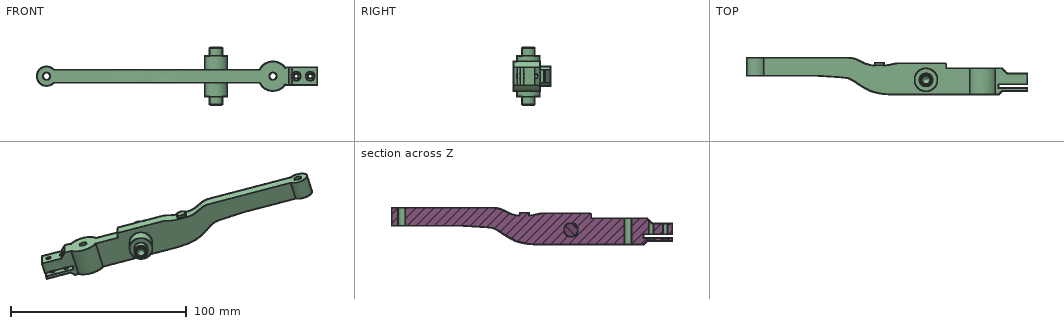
import cadquery as cq
import math

LENGTH = 159.5
ARM_THICKNESS = 7.5
ARM_BACK_Y = 21.0
ARM_FRONT_Y = 10.7

EYE_DIAMETER = 11.2
EYE_X = EYE_DIAMETER / 2
EYE_HOLE_DIAMETER = 4.0

FRONT_BEND_START_X = 40.3
FRONT_BEND_END_X = 86.6
BACK_BEND_START_X = 57.9
BACK_VALLEY_START_X = 72.1
BACK_VALLEY_END_X = 79.0
BACK_VALLEY_Y = 16.7
BACK_RIDGE_START_X = 86.6
BACK_RIDGE_Y = 18.0
FRONT_BEND_POINTS = [(51.8, 9.9), (57.4, 9.4), (64.3, 5.5), (70.8, 1.9), (78.0, 0.3)]

STEP_X = 113.5
STEP_CHAMFER = 0.8
HUB_BACK_Y = 15.2

HUB_X = 134.3
HUB_DIAMETER = 16.9
HUB_HOLE_DIAMETER = 4.0

TAIL_START_X = 141.3
TAIL_HEIGHT = 10.2
JAW_BACK_Y = 12.1
JAW_BACK_X = 148.0
LEAF_FRONT_Y = 2.0
LEAF_START_X = 145.3
SLOT_START_X = 143.2
SLOT_FRONT_Y = 3.8
SLOT_BACK_Y = 5.9

SCREW_XS = (147.5, 155.5)
SCREW_HEAD_DIAMETER = 5.1
SCREW_HOLE_DIAMETER = 2.5

STUD_X = 75.5
STUD_DIAMETER = 5.5
STUD_BACK_Y = 18.2
STUD_ROOT_DEPTH = 0.8

PIN_X = 101.9
PIN_Y = 8.5
PIN_DIAMETER = 7.5
PIN_LENGTH = 33.0
PIN_CHAMFER = 0.6
SLEEVE_DIAMETER = 13.0
SLEEVE_LENGTH = 23.1
CENTRE_HOLE_DIAMETER = 4.8
CENTRE_HOLE_ANGLE = 90.0


def cylinder_along_y(x, diameter, start_y, end_y):
    """Cylinder at height Z = 0 that runs from start_y to end_y."""
    direction = cq.Vector(0, 1, 0)
    return cq.Workplane(
        cq.Solid.makeCylinder(diameter / 2, end_y - start_y, cq.Vector(x, start_y, 0), direction)
    )


def extrude_about_mid_plane(outline, thickness):
    """Extrude a closed XY outline so that Z = 0 lies midway through it."""
    return outline.extrude(thickness).translate((0, 0, -thickness / 2))


def make_arm():
    outline = (
        cq.Workplane("XY")
        .moveTo(EYE_X, ARM_FRONT_Y)
        .lineTo(FRONT_BEND_START_X, ARM_FRONT_Y)
        .spline(
            FRONT_BEND_POINTS + [(FRONT_BEND_END_X, 0)],
            tangents=[(1, 0), (1, 0)],
            includeCurrent=True,
        )
        .lineTo(HUB_X, 0)
        .lineTo(HUB_X, HUB_BACK_Y)
        .lineTo(STEP_X, HUB_BACK_Y)
        .lineTo(STEP_X, BACK_RIDGE_Y - STEP_CHAMFER)
        .lineTo(STEP_X - STEP_CHAMFER, BACK_RIDGE_Y)
        .lineTo(BACK_RIDGE_START_X, BACK_RIDGE_Y)
        .spline(
            [(BACK_VALLEY_END_X, BACK_VALLEY_Y)],
            tangents=[(-1, 0), (-1, 0)],
            includeCurrent=True,
        )
        .lineTo(BACK_VALLEY_START_X, BACK_VALLEY_Y)
        .spline(
            [(BACK_BEND_START_X, ARM_BACK_Y)],
            tangents=[(-1, 0), (-1, 0)],
            includeCurrent=True,
        )
        .lineTo(EYE_X, ARM_BACK_Y)
        .close()
    )
    return extrude_about_mid_plane(outline, ARM_THICKNESS)


def make_tail():
    leaf_root_x = LEAF_START_X - LEAF_FRONT_Y
    jaw_root_x = JAW_BACK_X - (HUB_BACK_Y - JAW_BACK_Y)
    outline = (
        cq.Workplane("XY")
        .moveTo(TAIL_START_X, 0)
        .lineTo(leaf_root_x, 0)
        .lineTo(LEAF_START_X, LEAF_FRONT_Y)
        .lineTo(LENGTH, LEAF_FRONT_Y)
        .lineTo(LENGTH, SLOT_FRONT_Y)
        .lineTo(SLOT_START_X, SLOT_FRONT_Y)
        .lineTo(SLOT_START_X, SLOT_BACK_Y)
        .lineTo(LENGTH, SLOT_BACK_Y)
        .lineTo(LENGTH, JAW_BACK_Y)
        .lineTo(JAW_BACK_X, JAW_BACK_Y)
        .lineTo(jaw_root_x, HUB_BACK_Y)
        .lineTo(TAIL_START_X, HUB_BACK_Y)
        .close()
    )
    return extrude_about_mid_plane(outline, TAIL_HEIGHT)


def make_screw_hole(x):
    """Hole through leaf and jaw, with a conical head seat and room for the head in front of it."""
    seat_depth = (SCREW_HEAD_DIAMETER - SCREW_HOLE_DIAMETER) / 2
    seat = cq.Workplane(
        cq.Solid.makeCone(
            SCREW_HEAD_DIAMETER / 2,
            SCREW_HOLE_DIAMETER / 2,
            seat_depth,
            cq.Vector(x, LEAF_FRONT_Y, 0),
            cq.Vector(0, 1, 0),
        )
    )
    head_relief = cylinder_along_y(x, SCREW_HEAD_DIAMETER, 0, LEAF_FRONT_Y)
    shank = cylinder_along_y(x, SCREW_HOLE_DIAMETER, LEAF_FRONT_Y, HUB_BACK_Y)
    return head_relief.union(seat).union(shank)


def make_lever():
    eye = cylinder_along_y(EYE_X, EYE_DIAMETER, ARM_FRONT_Y, ARM_BACK_Y)
    hub = cylinder_along_y(HUB_X, HUB_DIAMETER, 0, HUB_BACK_Y)
    stud = cylinder_along_y(STUD_X, STUD_DIAMETER, BACK_VALLEY_Y - STUD_ROOT_DEPTH, STUD_BACK_Y)
    pin_axis = cq.Workplane("XY").center(PIN_X, PIN_Y)
    sleeve = extrude_about_mid_plane(pin_axis.circle(SLEEVE_DIAMETER / 2), SLEEVE_LENGTH)
    pin_bore = extrude_about_mid_plane(pin_axis.circle(PIN_DIAMETER / 2), SLEEVE_LENGTH)

    lever = make_arm().union(make_tail())
    for boss in (eye, hub, stud, sleeve):
        lever = lever.union(boss)

    lever = lever.cut(cylinder_along_y(EYE_X, EYE_HOLE_DIAMETER, ARM_FRONT_Y, ARM_BACK_Y))
    lever = lever.cut(cylinder_along_y(HUB_X, HUB_HOLE_DIAMETER, 0, HUB_BACK_Y))
    for x in SCREW_XS:
        lever = lever.cut(make_screw_hole(x))
    return lever.cut(pin_bore)


def make_centre_hole():
    """Conical centre hole in the top end of the pin."""
    mouth_z = PIN_LENGTH / 2
    mouth_radius = CENTRE_HOLE_DIAMETER / 2
    depth = mouth_radius / math.tan(math.radians(CENTRE_HOLE_ANGLE / 2))
    profile = (
        cq.Workplane("XZ")
        .moveTo(0, mouth_z)
        .lineTo(mouth_radius, mouth_z)
        .lineTo(0, mouth_z - depth)
        .close()
    )
    return profile.revolve(360, (0, 0, 0), (0, 1, 0))


def make_pin():
    blank = extrude_about_mid_plane(cq.Workplane("XY").circle(PIN_DIAMETER / 2), PIN_LENGTH)
    top_hole = make_centre_hole()
    bottom_hole = top_hole.mirror("XY")
    pin = blank.faces("|Z").chamfer(PIN_CHAMFER).cut(top_hole).cut(bottom_hole)
    return pin.translate((PIN_X, PIN_Y, 0))


lever = make_lever()
pin = make_pin()

result = cq.Compound.makeCompound([lever.val(), pin.val()])